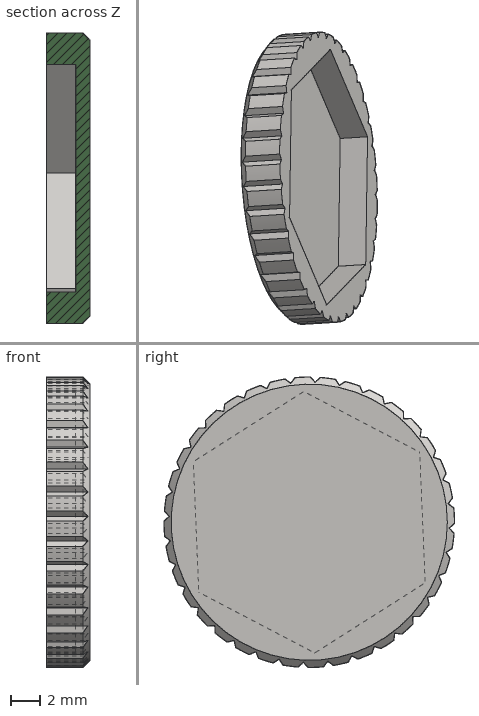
import cadquery as cq
import math

outer_diameter = 20.0
thickness = 3.0
rim_chamfer = 0.5

groove_count = 36
groove_bar_side = 0.5
groove_start_angle = -2.4

hex_corner_diameter = 18.0
hex_depth = 2.0
hex_corner_angle = 32.4


def make_disc():
    """Plain disc with its far rim chamfered."""
    disc = cq.Workplane("YZ").circle(outer_diameter / 2).extrude(thickness)
    return disc.faces(">X").edges().chamfer(rim_chamfer)


def make_grooves():
    """Square bars centred on the rim, one corner of each pointing at the disc axis."""
    bar_diagonal = groove_bar_side * math.sqrt(2)
    return (
        cq.Workplane("YZ")
        .polarArray(outer_diameter / 2, groove_start_angle, 360, groove_count)
        .polygon(4, bar_diagonal)
        .extrude(thickness)
    )


def make_hex_pocket():
    """Hexagonal prism that fills the pocket."""
    return (
        cq.Workplane("YZ")
        .transformed(rotate=(0, 0, hex_corner_angle))
        .polygon(6, hex_corner_diameter)
        .extrude(hex_depth)
    )


result = make_disc().cut(make_grooves()).cut(make_hex_pocket())